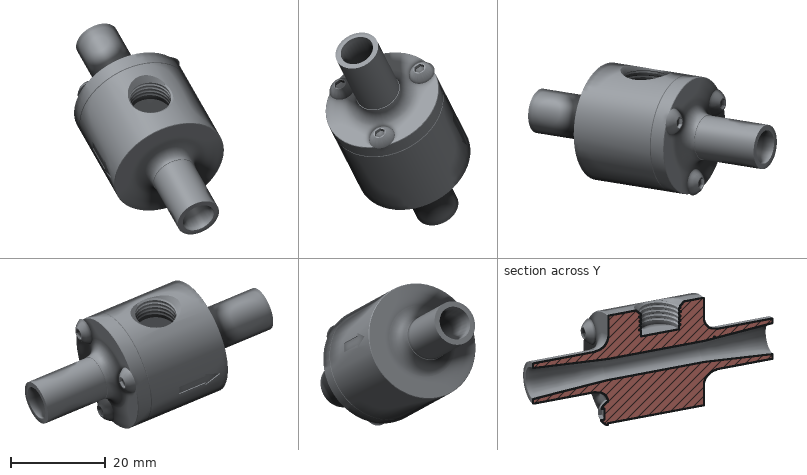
import cadquery as cq
import math

TOTAL_LENGTH = 55.8
TUBE_RADIUS = 4.75
BODY_RADIUS = 12.55
BODY_START = 17.5
BODY_END = 39.85
CAP_THICKNESS = 3.3
EDGE_CHAMFER = 0.1

FLARE_RADIUS = 2.9
FLARE_START_RADIUS = 4.85

THROAT_RADIUS = 2.4
MOUTH_RADIUS = 3.55

SCREW_COUNT = 3
SCREW_CIRCLE_RADIUS = 10.2
FIRST_SCREW_ANGLE = 180
HEAD_RADIUS = 2.85
HEAD_TOP_RADIUS = 1.35
HEAD_HEIGHT = 1.7
HEAD_BULGE = 0.15
HEX_SIDES = 6
HEX_ACROSS_FLATS = 2.1
HEX_DEPTH = 0.85

PORT_X = 29.6
PORT_RADIUS = 4.35
PORT_MOUTH_RADIUS = 5.6
PORT_FLOOR_Z = 6.3
THREAD_PITCH = 1.0
THREAD_ANGLE = 60
THREAD_OPENING = 0.5
THREAD_OVERLAP = 0.1
THREAD_TURNS = 4.7
THREAD_START_ANGLE = -135
THREAD_START_Z = PORT_FLOOR_Z + 0.6

ARROW_TAIL_X = 27.75
ARROW_HEAD_X = 34.25
ARROW_TIP_X = 37.85
ARROW_SHAFT_HALF_WIDTH = 1.0
ARROW_HEAD_HALF_WIDTH = 1.6
ARROW_DEPTH = 0.2


def cylinder_along_x(start, end, radius):
    return cq.Workplane("YZ", origin=(start, 0, 0)).circle(radius).extrude(end - start)


def flare(face_x, direction):
    """Concave collar running from a body end face out to the tube."""
    outer_radius = FLARE_START_RADIUS + FLARE_RADIUS
    tube_end_x = face_x + direction * FLARE_RADIUS
    diagonal = FLARE_RADIUS * math.sqrt(0.5)
    arc_middle = (tube_end_x - direction * diagonal, outer_radius - diagonal)
    return (
        cq.Workplane("XY")
        .moveTo(face_x, 0)
        .lineTo(face_x, outer_radius)
        .threePointArc(arc_middle, (tube_end_x, FLARE_START_RADIUS))
        .lineTo(tube_end_x, 0)
        .close()
        .revolve(360, (0, 0, 0), (1, 0, 0))
    )


def screw(angle):
    """Button head with a hexagon socket, seated on the cap face."""
    y = SCREW_CIRCLE_RADIUS * math.sin(math.radians(angle))
    z = SCREW_CIRCLE_RADIUS * math.cos(math.radians(angle))
    head_top_x = BODY_START - HEAD_HEIGHT
    flank_rise = HEAD_RADIUS - HEAD_TOP_RADIUS
    flank_length = math.hypot(HEAD_HEIGHT, flank_rise)
    flank_middle = (
        BODY_START - HEAD_HEIGHT / 2 - HEAD_BULGE * flank_rise / flank_length,
        HEAD_TOP_RADIUS + flank_rise / 2 + HEAD_BULGE * HEAD_HEIGHT / flank_length,
    )
    head = (
        cq.Workplane("XY")
        .moveTo(BODY_START, 0)
        .lineTo(BODY_START, HEAD_RADIUS)
        .threePointArc(flank_middle, (head_top_x, HEAD_TOP_RADIUS))
        .lineTo(head_top_x, 0)
        .close()
        .revolve(360, (0, 0, 0), (1, 0, 0))
    )
    socket = (
        cq.Workplane("YZ", origin=(head_top_x, 0, 0))
        .polygon(HEX_SIDES, HEX_ACROSS_FLATS, circumscribed=True)
        .extrude(HEX_DEPTH)
    )
    return head.cut(socket).translate((0, y, z))


def through_bore():
    """Straight throat with a conical mouth in each tube end."""
    return (
        cq.Workplane("XY")
        .moveTo(0, 0)
        .lineTo(0, MOUTH_RADIUS)
        .lineTo(BODY_START, THROAT_RADIUS)
        .lineTo(BODY_END, THROAT_RADIUS)
        .lineTo(TOTAL_LENGTH, MOUTH_RADIUS)
        .lineTo(TOTAL_LENGTH, 0)
        .close()
        .revolve(360, (0, 0, 0), (1, 0, 0))
    )


def port_hole():
    """Blind port on top with a 45 degree countersink and a flat floor."""
    countersink_bottom = BODY_RADIUS - (PORT_MOUTH_RADIUS - PORT_RADIUS)
    return (
        cq.Workplane("XZ", origin=(PORT_X, 0, 0))
        .moveTo(0, BODY_RADIUS)
        .lineTo(PORT_MOUTH_RADIUS, BODY_RADIUS)
        .lineTo(PORT_RADIUS, countersink_bottom)
        .lineTo(PORT_RADIUS, PORT_FLOOR_Z)
        .lineTo(0, PORT_FLOOR_Z)
        .close()
        .revolve(360, (0, 0, 0), (0, 1, 0))
    )


def port_thread():
    """Right-handed 60 degree V groove wound up the port wall."""
    groove_depth = THREAD_OPENING / 2 / math.tan(math.radians(THREAD_ANGLE / 2))
    inner_radius = PORT_RADIUS - THREAD_OVERLAP
    inner_half_width = THREAD_OPENING / 2 * (1 + THREAD_OVERLAP / groove_depth)
    helix = cq.Wire.makeHelix(THREAD_PITCH, THREAD_PITCH * THREAD_TURNS, PORT_RADIUS)
    groove = (
        cq.Workplane("XZ")
        .moveTo(inner_radius, -inner_half_width)
        .lineTo(PORT_RADIUS + groove_depth, 0)
        .lineTo(inner_radius, inner_half_width)
        .close()
        .sweep(cq.Workplane(obj=helix), isFrenet=True)
    )
    return groove.rotate((0, 0, 0), (0, 0, 1), THREAD_START_ANGLE).translate((PORT_X, 0, THREAD_START_Z))


def flow_arrow():
    """Flat-bottomed recess on the -Y side pointing downstream."""
    upper = [
        (ARROW_TAIL_X, ARROW_SHAFT_HALF_WIDTH),
        (ARROW_HEAD_X, ARROW_SHAFT_HALF_WIDTH),
        (ARROW_HEAD_X, ARROW_HEAD_HALF_WIDTH),
    ]
    lower = [(x, -z) for x, z in reversed(upper)]
    outline = upper + [(ARROW_TIP_X, 0)] + lower
    return (
        cq.Workplane("XZ", origin=(0, ARROW_DEPTH - BODY_RADIUS, 0))
        .polyline(outline)
        .close()
        .extrude(ARROW_DEPTH)
    )


joint_x = BODY_START + CAP_THICKNESS
cap = cylinder_along_x(BODY_START, joint_x, BODY_RADIUS).edges().chamfer(EDGE_CHAMFER)
housing = cylinder_along_x(joint_x, BODY_END, BODY_RADIUS).edges().chamfer(EDGE_CHAMFER)
result = cap.union(housing)

result = result.union(cylinder_along_x(0, TOTAL_LENGTH, TUBE_RADIUS))
result = result.union(flare(BODY_START, -1)).union(flare(BODY_END, 1))
for index in range(SCREW_COUNT):
    result = result.union(screw(FIRST_SCREW_ANGLE + index * 360 / SCREW_COUNT))

result = result.cut(through_bore()).cut(port_hole()).cut(port_thread()).cut(flow_arrow())